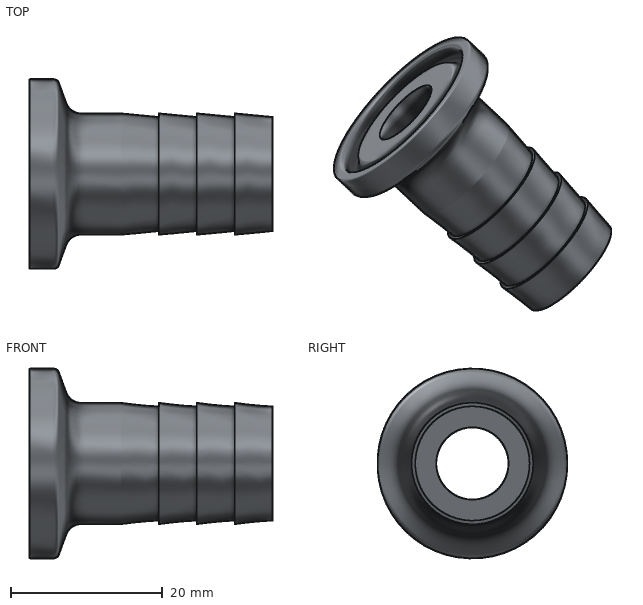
import cadquery as cq
import math

length = 32.0
flange_radius = 12.5
hose_radius = 8.0
bore_radius = 4.75

rim_fillet = 0.2
back_fillet_start = 3.15
back_fillet = 0.8
neck_fillet = 2.0
back_angle = math.radians(20)

barb_count = 4
barb_length = 5.0
barb_tip_radius = 7.52

groove_center_radius = 10.1
groove_bottom_radius = 0.77
lip_radius = 0.5
inner_lip_center = 8.45

face_recess = 0.8


def point_on_circle(x, r, size, angle):
    """Point in the (X, radius) half-plane, angle measured from +X."""
    return (x + size * math.cos(angle), r + size * math.sin(angle))


def make_body():
    """Flange, neck and barbed tail as one solid of revolution."""
    back_center_r = flange_radius - back_fillet
    neck_center_r = hose_radius + neck_fillet
    neck_fillet_end = (
        back_fillet_start
        + (back_fillet + neck_fillet) / math.cos(back_angle)
        + (back_center_r - neck_center_r) * math.tan(back_angle)
    )
    back_arc = (back_fillet_start, back_center_r, back_fillet)
    neck_arc = (neck_fillet_end, neck_center_r, neck_fillet)
    back_mid_angle = (math.pi / 2 + back_angle) / 2
    rim_mid = point_on_circle(rim_fillet, flange_radius - rim_fillet, rim_fillet, math.radians(135))

    profile = (
        cq.Workplane("XY")
        .moveTo(0, bore_radius)
        .lineTo(0, flange_radius - rim_fillet)
        .threePointArc(rim_mid, (rim_fillet, flange_radius))
        .lineTo(back_fillet_start, flange_radius)
        .threePointArc(point_on_circle(*back_arc, back_mid_angle), point_on_circle(*back_arc, back_angle))
        .lineTo(*point_on_circle(*neck_arc, back_angle + math.pi))
        .threePointArc(
            point_on_circle(*neck_arc, back_mid_angle + math.pi),
            (neck_fillet_end, hose_radius),
        )
    )
    for barb in range(barb_count):
        barb_end = length - (barb_count - 1 - barb) * barb_length
        profile = profile.lineTo(barb_end - barb_length, hose_radius)
        profile = profile.lineTo(barb_end, barb_tip_radius)
    profile = profile.lineTo(length, bore_radius).close()
    return profile.revolve(360, (0, 0, 0), (1, 0, 0))


def make_groove():
    """Cut that sets the inner face back and forms the gasket groove around it."""
    outer_lip_center = groove_center_radius + groove_bottom_radius + lip_radius
    groove_center_depth = face_recess + lip_radius
    center_distance = groove_center_radius - inner_lip_center
    wall_tilt = math.acos((lip_radius + groove_bottom_radius) / center_distance)
    wall_angle = math.pi / 2 + wall_tilt
    inner_lip = (groove_center_depth, inner_lip_center, lip_radius)
    bottom = (groove_center_depth, groove_center_radius, groove_bottom_radius)
    outer_lip = (lip_radius, outer_lip_center, lip_radius)

    profile = (
        cq.Workplane("XY")
        .moveTo(0, 0)
        .lineTo(face_recess, 0)
        .lineTo(face_recess, inner_lip_center)
        .threePointArc(
            point_on_circle(*inner_lip, (math.pi + wall_angle) / 2),
            point_on_circle(*inner_lip, wall_angle),
        )
        .lineTo(*point_on_circle(*bottom, wall_angle + math.pi))
        .threePointArc(
            point_on_circle(*bottom, 0),
            point_on_circle(*bottom, math.pi / 2),
        )
        .lineTo(lip_radius, outer_lip_center - lip_radius)
        .threePointArc(point_on_circle(*outer_lip, math.radians(225)), (0, outer_lip_center))
        .close()
    )
    return profile.revolve(360, (0, 0, 0), (1, 0, 0))


result = make_body().cut(make_groove())